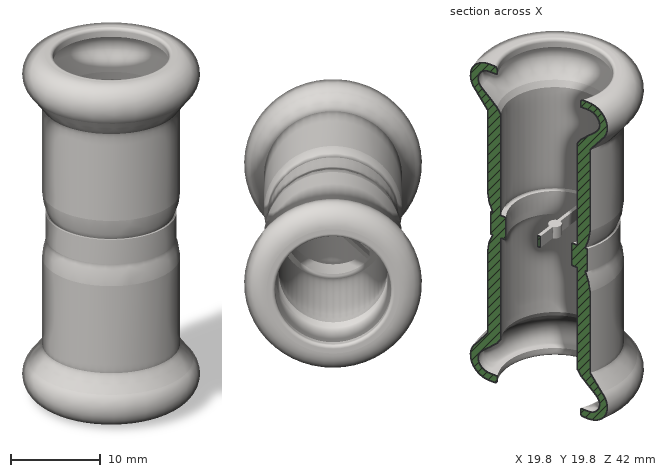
import cadquery as cq
import math

half_length = 21.0
max_radius = 9.89
bead_radius = 2.48
body_radius = 7.7
flare_start_z = 14.8
flare_end_z = 16.75
shoulder_z = 4.05
shoulder_small_radius = 7.05
band_radius = 7.3
band_half_height = 1.5

lip_radius = 6.45
lip_round = 0.38
groove_arc_radius = 1.43
seat_radius = 6.45
seat_z = 15.62
socket_radius = 6.05
socket_top_z = 14.9
bore_radius = 5.45

hub_radius = 0.75
bar_width = 0.4
web_height = 2 * hub_radius
bar_overlap = 0.4

bead_center_r = max_radius - bead_radius
bead_center_z = half_length - bead_radius
flare_end_r = bead_center_r + math.sqrt(bead_radius**2 - (bead_center_z - flare_end_z) ** 2)

groove_scale = groove_arc_radius / bead_radius
groove_top_z = bead_center_z + groove_arc_radius
groove_max_radius = bead_center_r + groove_arc_radius
groove_end_r = bead_center_r + groove_scale * (flare_end_r - bead_center_r)
groove_end_z = bead_center_z + groove_scale * (flare_end_z - bead_center_z)

shoulder_drop = shoulder_z - band_half_height
shoulder_step = body_radius - shoulder_small_radius
shoulder_arc_radius = (shoulder_drop**2 + shoulder_step**2) / (2 * shoulder_step)
shoulder_mid_angle = math.asin(shoulder_drop / shoulder_arc_radius) / 2
shoulder_mid = (
    body_radius - shoulder_arc_radius * (1 - math.cos(shoulder_mid_angle)),
    shoulder_z - shoulder_arc_radius * math.sin(shoulder_mid_angle),
)
lip_round_mid = lip_round * (1 - math.sqrt(0.5))


def make_socket():
    """Revolve the wall section of one socket, from the middle band to its rim."""
    section = (
        cq.Workplane("XZ")
        .moveTo(socket_radius, band_half_height)
        .lineTo(shoulder_small_radius, band_half_height)
        .threePointArc(shoulder_mid, (body_radius, shoulder_z))
        .lineTo(body_radius, flare_start_z)
        .lineTo(flare_end_r, flare_end_z)
        .threePointArc((max_radius, bead_center_z), (bead_center_r, half_length))
        .lineTo(lip_radius + lip_round, half_length)
        .threePointArc(
            (lip_radius + lip_round_mid, half_length - lip_round_mid),
            (lip_radius, half_length - lip_round),
        )
        .lineTo(lip_radius, groove_top_z)
        .lineTo(bead_center_r, groove_top_z)
        .threePointArc((groove_max_radius, bead_center_z), (groove_end_r, groove_end_z))
        .lineTo(seat_radius, seat_z)
        .lineTo(socket_radius, socket_top_z)
        .close()
    )
    return section.revolve(360, (0, 0, 0), (0, 1, 0))


def make_band():
    """Build the middle ring whose narrower bore forms the stop of both sockets."""
    ring = cq.Workplane("XY").circle(band_radius).circle(bore_radius)
    return ring.extrude(2 * band_half_height).translate((0, 0, -band_half_height))


def make_web():
    """Build the central hub with its thin bar reaching into the bore wall."""
    hub = cq.Workplane("XY").circle(hub_radius).extrude(web_height / 2, both=True)
    bar = cq.Workplane("XY").box(2 * (bore_radius + bar_overlap), bar_width, web_height)
    return hub.union(bar)


upper_socket = make_socket()
lower_socket = upper_socket.mirror("XY")
result = make_band().union(upper_socket).union(lower_socket).union(make_web())